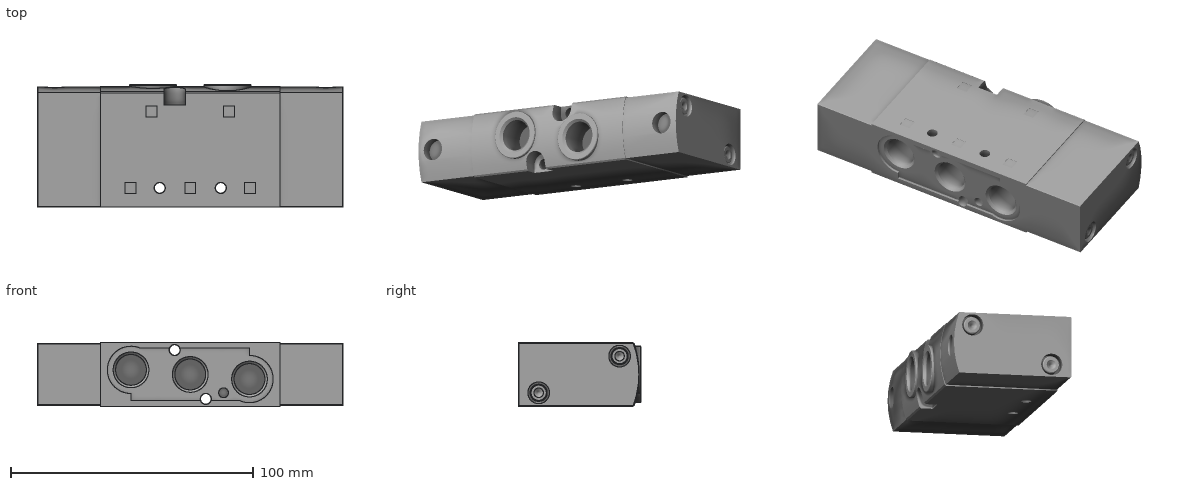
import cadquery as cq
import math

TOTAL_LENGTH = 126.0
TOTAL_DEPTH = 50.5

BODY_LENGTH = 74.1
BODY_HEIGHT = 26.5
BODY_CHAMFER_HEIGHT = 0.6
BODY_FLAT_DEPTH = 47.1
BODY_EDGE_DEPTH = 47.8
BODY_CROWN_DEPTH = 49.8

CAP_HEIGHT = 25.5
CAP_EDGE_DEPTH = 47.4
CAP_FRONT_CHAMFER = 0.3
CAP_CROWN_DEPTH = 49.6
CAP_LENGTH = (TOTAL_LENGTH - BODY_LENGTH) / 2

PORT_BORE = 12.7
PORT_MOUTH = 14.7
PORT_CHAMFER = (PORT_MOUTH - PORT_BORE) / 2
PORT_DEPTH = 13.9
FRONT_PORT_PITCH = 24.5
BACK_PORT_OFFSET = 15.4
PORT_STAGGER = 1.9
COLLAR_DIAMETER = 19.5
COLLAR_CHAMFER = 0.3
COLLAR_RADIUS = COLLAR_DIAMETER / 2
COLLAR_ROOT_DEPTH = 44.1
FRONT_PORTS = [(-FRONT_PORT_PITCH, PORT_STAGGER), (0, 0), (FRONT_PORT_PITCH, -PORT_STAGGER)]
BACK_PORTS = [(-BACK_PORT_OFFSET, -PORT_STAGGER), (BACK_PORT_OFFSET, PORT_STAGGER)]

RECESS_DEPTH = 1.0
RECESS_HALF_HEIGHT = 10.8

MOUNTING_HOLE = 4.4
LONG_HOLE_X = 6.4
LONG_HOLE_Z = 10.1
SLOT_WIDTH = 9.0
SLOT_FLOOR_DEPTH = 42.2
CROSS_HOLE_X = 12.6
CROSS_HOLE_Y = 8.0
BLIND_HOLE = 4.0
BLIND_HOLE_DEPTH = 3.8
BLIND_HOLE_X = 13.7
BLIND_HOLE_Z = -7.5

LABEL_SIZE = 4.5
LABEL_DEPTH = 0.1
FRONT_LABEL_PITCH = 24.6
FRONT_LABEL_Y = 8.0
BACK_LABEL_OFFSET = 16.0
BACK_LABEL_Y = 39.6

PILOT_BORE = 9.0
PILOT_END_DISTANCE = 7.0
PILOT_FLOOR_DEPTH = 45.1

SEAT_DIAMETER = 9.0
SCREW_RECESS = 0.8
HEAD_DIAMETER = 7.0
HEAD_HEIGHT = 4.0
HEAD_CHAMFER = 0.4
SHANK_DIAMETER = 4.0
THREAD_LENGTH = 5.0
SOCKET_MOUTH = 3.9
SOCKET_DIAMETER = 3.3
SOCKET_CHAMFER = (SOCKET_MOUTH - SOCKET_DIAMETER) / 2
SOCKET_DEPTH = 1.5
SEAT_DEPTH = SCREW_RECESS + HEAD_HEIGHT
SHANK_LENGTH = CAP_LENGTH - SEAT_DEPTH + THREAD_LENGTH
SCREW_PLACES = [(41.7, 7.5), (8.3, -7.5)]

ENDS = (-1, 1)
SIDES = (-1, 1)


def rod(diameter, x, z, y_start, y_end):
    """Cylinder parallel to Y."""
    length = y_end - y_start
    return cq.Workplane(cq.Solid.makeCylinder(
        diameter / 2, length, cq.Vector(x, y_start, z), cq.Vector(0, 1, 0)))


def port_tool(x, z, face_y, inward):
    """Flat-bottomed bore with a chamfered mouth, cut from face_y along Y in the inward direction."""
    profile = (
        cq.Workplane("XY")
        .lineTo(PORT_MOUTH / 2, 0)
        .lineTo(PORT_BORE / 2, PORT_CHAMFER)
        .lineTo(PORT_BORE / 2, PORT_DEPTH)
        .lineTo(0, PORT_DEPTH)
        .close()
    )
    tool = profile.revolve(360, (0, 0, 0), (0, 1, 0))
    if inward < 0:
        tool = tool.mirror("XZ")
    return tool.translate((x, face_y, z))


def body_blank():
    """Block with a crowned back and chamfered back edges."""
    half = BODY_HEIGHT / 2
    crown_half = half - BODY_CHAMFER_HEIGHT
    return (
        cq.Workplane("YZ")
        .moveTo(0, -half)
        .lineTo(BODY_FLAT_DEPTH, -half)
        .lineTo(BODY_EDGE_DEPTH, -crown_half)
        .threePointArc((BODY_CROWN_DEPTH, 0), (BODY_EDGE_DEPTH, crown_half))
        .lineTo(BODY_FLAT_DEPTH, half)
        .lineTo(0, half)
        .close()
        .extrude(BODY_LENGTH / 2, both=True)
    )


def gasket_recess():
    """Shallow recess: a band with a round lobe around each outer front port."""
    lobe_x = FRONT_PORT_PITCH
    lobe_z = PORT_STAGGER
    rise = RECESS_HALF_HEIGHT - lobe_z
    reach = math.sqrt(COLLAR_RADIUS**2 - rise**2)
    join_x = lobe_x - reach
    lobe_end_z = COLLAR_RADIUS - lobe_z
    outer_x = lobe_x + COLLAR_RADIUS
    return (
        cq.Workplane("XZ")
        .moveTo(-join_x, RECESS_HALF_HEIGHT)
        .lineTo(lobe_x, RECESS_HALF_HEIGHT)
        .lineTo(lobe_x, lobe_end_z)
        .threePointArc((outer_x, -lobe_z), (join_x, -RECESS_HALF_HEIGHT))
        .lineTo(-lobe_x, -RECESS_HALF_HEIGHT)
        .lineTo(-lobe_x, -lobe_end_z)
        .threePointArc((-outer_x, lobe_z), (-join_x, RECESS_HALF_HEIGHT))
        .close()
        .extrude(-RECESS_DEPTH)
    )


def mounting_slot(side):
    """Round-bottomed slot at the back end of a long hole, open to the top (+1) or bottom (-1) face."""
    x = side * -LONG_HOLE_X
    z = side * LONG_HOLE_Z
    length = TOTAL_DEPTH - SLOT_FLOOR_DEPTH
    round_bottom = rod(SLOT_WIDTH, x, z, SLOT_FLOOR_DEPTH, TOTAL_DEPTH)
    walls = (
        cq.Workplane("XY")
        .box(SLOT_WIDTH, length, SLOT_WIDTH)
        .translate((x, SLOT_FLOOR_DEPTH + length / 2, z + side * SLOT_WIDTH / 2))
    )
    return round_bottom.union(walls)


def label_pockets():
    """One square pocket in the top face beside each port."""
    places = [(i * FRONT_LABEL_PITCH, FRONT_LABEL_Y) for i in (-1, 0, 1)]
    places += [(side * BACK_LABEL_OFFSET, BACK_LABEL_Y) for side in SIDES]
    return (
        cq.Workplane("XY", origin=(0, 0, BODY_HEIGHT / 2))
        .pushPoints(places)
        .rect(LABEL_SIZE, LABEL_SIZE)
        .extrude(-LABEL_DEPTH)
    )


def make_body(screws):
    body = body_blank()
    for x, z in BACK_PORTS:
        collar = rod(COLLAR_DIAMETER, x, z, COLLAR_ROOT_DEPTH, TOTAL_DEPTH)
        body = body.union(collar.faces(">Y").chamfer(COLLAR_CHAMFER))
    body = body.cut(gasket_recess())
    for x, z in FRONT_PORTS:
        body = body.cut(port_tool(x, z, RECESS_DEPTH, 1))
    for x, z in BACK_PORTS:
        body = body.cut(port_tool(x, z, TOTAL_DEPTH, -1))
    for side in SIDES:
        body = body.cut(rod(MOUNTING_HOLE, side * -LONG_HOLE_X, side * LONG_HOLE_Z, 0, TOTAL_DEPTH))
        body = body.cut(mounting_slot(side))
        cross_hole = (
            cq.Workplane("XY")
            .center(side * CROSS_HOLE_X, CROSS_HOLE_Y)
            .circle(MOUNTING_HOLE / 2)
            .extrude(BODY_HEIGHT, both=True)
        )
        body = body.cut(cross_hole)
    body = body.cut(rod(BLIND_HOLE, BLIND_HOLE_X, BLIND_HOLE_Z, 0, RECESS_DEPTH + BLIND_HOLE_DEPTH))
    body = body.cut(label_pockets())
    for screw in screws:
        body = body.cut(screw)
    return body


def make_screw(end, y, z):
    """Cap screw along X with a conical socket in its head; end is -1 (left) or +1 (right)."""
    head_radius = HEAD_DIAMETER / 2
    profile = (
        cq.Workplane("XY")
        .moveTo(SOCKET_DEPTH, 0)
        .lineTo(SOCKET_CHAMFER, SOCKET_DIAMETER / 2)
        .lineTo(0, SOCKET_MOUTH / 2)
        .lineTo(0, head_radius - HEAD_CHAMFER)
        .lineTo(HEAD_CHAMFER, head_radius)
        .lineTo(HEAD_HEIGHT, head_radius)
        .lineTo(HEAD_HEIGHT, SHANK_DIAMETER / 2)
        .lineTo(HEAD_HEIGHT + SHANK_LENGTH, SHANK_DIAMETER / 2)
        .lineTo(HEAD_HEIGHT + SHANK_LENGTH, 0)
        .close()
    )
    screw = profile.revolve(360, (0, 0, 0), (1, 0, 0))
    screw = screw.translate((-TOTAL_LENGTH / 2 + SCREW_RECESS, y, z))
    return screw if end < 0 else screw.mirror("YZ")


def make_cap(end):
    """End cap with a crowned back, two screw seats and a pilot port; end is -1 (left) or +1 (right)."""
    half = CAP_HEIGHT / 2
    end_x = -TOTAL_LENGTH / 2
    cap = (
        cq.Workplane("YZ", origin=(end_x, 0, 0))
        .moveTo(0, -half)
        .lineTo(CAP_EDGE_DEPTH, -half)
        .threePointArc((CAP_CROWN_DEPTH, 0), (CAP_EDGE_DEPTH, half))
        .lineTo(0, half)
        .close()
        .extrude(CAP_LENGTH)
        .faces("<Y")
        .edges("|X")
        .chamfer(CAP_FRONT_CHAMFER)
    )
    face = cq.Workplane("YZ", origin=(end_x, 0, 0)).pushPoints(SCREW_PLACES)
    cap = cap.cut(face.circle(SEAT_DIAMETER / 2).extrude(SEAT_DEPTH))
    cap = cap.cut(face.circle(SHANK_DIAMETER / 2).extrude(CAP_LENGTH))
    cap = cap.cut(rod(PILOT_BORE, end_x + PILOT_END_DISTANCE, 0, PILOT_FLOOR_DEPTH, TOTAL_DEPTH))
    return cap if end < 0 else cap.mirror("YZ")


screws = [make_screw(end, y, z) for end in ENDS for y, z in SCREW_PLACES]
caps = [make_cap(end) for end in ENDS]
body = make_body(screws)

result = cq.Compound.makeCompound(
    [body.val()] + [cap.val() for cap in caps] + [screw.val() for screw in screws]
)